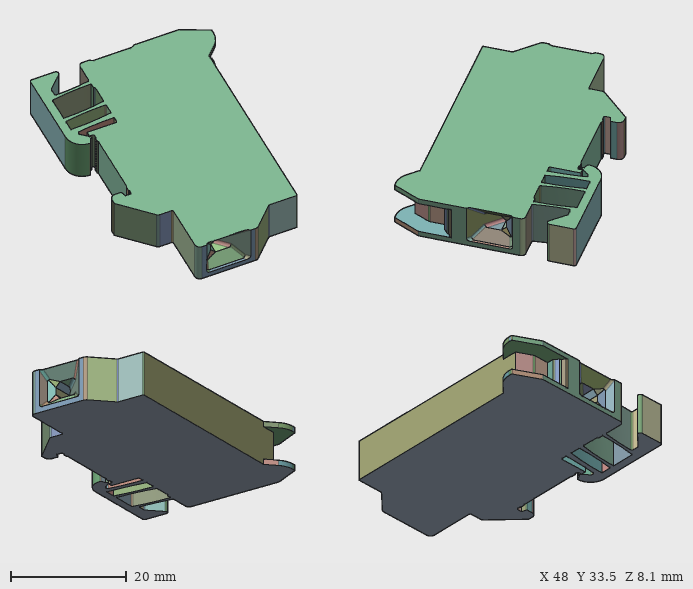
import cadquery as cq
import math

length = 48.0
height = 33.5
thickness = 8.1

body_top = 30.55
body_bottom = 9.55
step_bottom = 9.25
step_start = 6.15
step_end = 6.4
rail_seat = 4.7
foot_top = 1.6

outer_radius = 0.75
broad_radius = 0.95
foot_radius = 0.45
medium_radius = 0.3
small_radius = 0.2

plate = 1.0
ear_start = 28.4
ear_tip_x = 2.5
ear_radius = 3.85
ear_foot_x = 7.75

shoulder_x = 43.95
shoulder_y = 25.1
slope_end_y = 21.05
hook_back_x = 38.1
hook_back_y = 6.75
hook_tip_x = 30.55
hook_bottom = 1.05
hook_throat_x = 31.55
hook_lip_y = 3.25
lip_rise = 0.3
pad_drop = 0.15
pad_length = 0.8
pad_ramp = 0.25
relief_length = 0.8
stop_x = 15.25
stop_bottom = 3.85
seat_left_x = 16.2

leg_bend = 0.25
leg_radius = 0.25
leg_1 = {"left_top": 4.35, "left_bottom": 5.05, "right_top": 5.25, "right_bottom": 5.9}
leg_2 = {"left_top": 9.8, "left_bottom": 10.55, "right_top": 10.75, "right_bottom": 11.4}
leg_3 = {"left_top": 12.8, "left_bottom": 13.5, "right_top": 14.05, "right_bottom": 14.7}
notch_floor = 2.5
notch_x = 3.45
finger_tip_y = 6.05
finger_radius = 0.55
claw_tip_x = 17.8
claw_tip_y = 3.35
claw_radius = 3.2
tip_radius = 0.1
nib = (16.75, 4.2)
nib_left = (16.45, 4.0)
nib_right = (16.9, 3.7)
gap_floor = 2.45
gap_floor_start = 14.5
gap_floor_end = 15.1

slot_bottom = 22.4
slot_depth = 3.15
slot_radius = 0.95
overshoot = 0.5
slot_slope_y = 27.45
slot_back_x = 4.65
ledge_y = 24.3
tooth_count = 2
tooth_pitch = 0.8
tooth_run = 0.2
tooth_shallow = 0.35

funnel_top_y = 19.8
funnel_bottom_y = 11.4
mouth_low_z = 1.0
mouth_depth = 0.55
mouth_high_z = 8.5
throat_depth = 2.35
throat_bottom_y = 13.25
throat_low_z = 2.85
throat_high_z = 6.0
throat_chamfer = 0.9
funnel_end = funnel_top_y - throat_bottom_y
bend_depth = 1.65
bend_y = 12.0
funnel_radius = 0.55


def rounded_prism(corners, depth=thickness):
    """Prism along Z; each corner is (x, y, radius), with radius 0 for a sharp corner."""
    path = []
    for i, (x, y, radius) in enumerate(corners):
        before = corners[i - 1]
        after = corners[(i + 1) % len(corners)]
        here = cq.Vector(x, y)
        to_before = (cq.Vector(before[0], before[1]) - here).normalized()
        to_after = (cq.Vector(after[0], after[1]) - here).normalized()
        half_angle = to_before.getAngle(to_after) / 2
        setback = radius / math.tan(half_angle)
        bisector = (to_before + to_after).normalized()
        middle = here + bisector * (radius / math.sin(half_angle) - radius)
        path.append((here + to_before * setback, middle, here + to_after * setback, radius))

    outline = cq.Workplane("XY").moveTo(path[0][2].x, path[0][2].y)
    for start, middle, end, radius in path[1:] + path[:1]:
        outline = outline.lineTo(start.x, start.y)
        if radius > 0:
            outline = outline.threePointArc((middle.x, middle.y), (end.x, end.y))
    return outline.close().extrude(depth)


def make_body():
    seat_right_x = hook_throat_x - relief_length
    seat_left_end_x = seat_left_x + relief_length
    pad_y = rail_seat - pad_drop
    return rounded_prism([
        (0, step_bottom, outer_radius),
        (step_start, step_bottom, 0),
        (step_end, body_bottom, medium_radius),
        (stop_x, body_bottom, medium_radius),
        (stop_x, stop_bottom, 0),
        (seat_left_x, stop_bottom, 0),
        (seat_left_x, rail_seat, medium_radius),
        (seat_left_end_x, rail_seat, 0),
        (seat_left_end_x, pad_y, 0),
        (seat_left_end_x + pad_length, pad_y, 0),
        (seat_left_end_x + pad_length + pad_ramp, rail_seat, 0),
        (seat_right_x - pad_length - pad_ramp, rail_seat, 0),
        (seat_right_x - pad_length, pad_y, 0),
        (seat_right_x, pad_y, 0),
        (seat_right_x, rail_seat, 0),
        (hook_throat_x, rail_seat, small_radius),
        (hook_throat_x, hook_lip_y + lip_rise, 0),
        (hook_tip_x, hook_lip_y, small_radius),
        (hook_tip_x, hook_bottom, broad_radius),
        (hook_back_x + hook_bottom - hook_back_y, hook_bottom, 0),
        (hook_back_x, hook_back_y, outer_radius),
        (hook_back_x, body_bottom, medium_radius),
        (length, body_bottom, broad_radius),
        (length, slope_end_y, broad_radius),
        (shoulder_x, shoulder_y, medium_radius),
        (shoulder_x, body_top, small_radius),
        (ear_foot_x, body_top, 0),
        (ear_foot_x + body_top - height, height, ear_radius),
        (ear_tip_x, height, small_radius),
        (0, ear_start, small_radius),
    ])


def make_foot():
    return rounded_prism([
        (0, 0, foot_radius),
        (claw_tip_x, 0, claw_radius),
        (claw_tip_x, claw_tip_y, tip_radius),
        (*nib_right, 0),
        (*nib, small_radius),
        (*nib_left, small_radius),
        (gap_floor_end, gap_floor, medium_radius),
        (gap_floor_start, gap_floor, 0),
        (leg_3["right_bottom"], foot_top, 0),
        (leg_1["left_bottom"], foot_top, 0),
        (leg_1["left_bottom"], notch_floor, 0),
        (notch_x, notch_floor, medium_radius),
        (0, finger_tip_y, finger_radius),
    ])


def make_leg(left_top, left_bottom, right_top, right_bottom):
    """Curved spring leg; the left side is upright at its foot, the right side at its top."""
    middle_y = (body_bottom + foot_top) / 2
    left_middle = left_bottom + (left_top - left_bottom) * leg_bend
    right_middle = right_top + (right_bottom - right_top) * leg_bend
    return (
        cq.Workplane("XY")
        .moveTo(left_top, body_bottom)
        .threePointArc((left_middle, middle_y), (left_bottom, foot_top))
        .lineTo(right_bottom, foot_top)
        .threePointArc((right_middle, middle_y), (right_top, body_bottom))
        .close()
        .extrude(thickness)
    )


def make_slot():
    """Marker slot, open to the left and to the top, between the two ear plates."""
    ledge = [(-overshoot, slot_bottom, 0), (0, slot_bottom, 0)]
    for i in range(tooth_count):
        x = i * tooth_pitch
        y = slot_bottom + x
        ledge.append((x + tooth_run, y + tooth_shallow, 0))
        ledge.append((x + tooth_pitch, y + tooth_pitch, 0))
    ledge_x = tooth_count * tooth_pitch + tooth_run
    pocket = rounded_prism(ledge + [
        (ledge_x, ledge_y, 0),
        (slot_depth, ledge_y, 0),
        (slot_depth, slot_slope_y, slot_radius),
        (slot_back_x, body_top, 0),
        (ear_foot_x + overshoot, body_top, 0),
        (ear_foot_x + overshoot, height + overshoot, 0),
        (-overshoot, height + overshoot, 0),
    ], thickness - 2 * plate)
    return pocket.translate((0, 0, plate))


def make_throat_corner(sill, mouth_z, throat_z):
    """Material left in a low-Y corner of the throat: a prism along X with a pointed end."""
    inward = math.copysign(throat_chamfer, throat_z - mouth_z)
    share = (bend_depth - sill) / (throat_depth - sill)
    apex_z = mouth_z + (throat_z - mouth_z) * share
    apex = cq.Vector(bend_depth, bend_y, apex_z)
    base = [
        cq.Vector(throat_depth, throat_bottom_y, throat_z),
        cq.Vector(throat_depth, throat_bottom_y + throat_chamfer, throat_z),
        cq.Vector(throat_depth, throat_bottom_y, throat_z + inward),
    ]
    base_face = cq.Face.makeFromWires(cq.Wire.makePolygon(base, close=True))
    faces = [base_face]
    for i in range(3):
        side = [base[i - 1], base[i], apex]
        faces.append(cq.Face.makeFromWires(cq.Wire.makePolygon(side, close=True)))
    point = cq.Solid.makeSolid(cq.Shell.makeShell(faces))
    bar = cq.Solid.extrudeLinear(base_face, cq.Vector(funnel_end, 0, 0))
    return cq.Workplane(point).union(cq.Workplane(bar))


def round_funnel(funnel):
    """Round the long inner corners of the funnel."""
    half = throat_depth / 2
    deep = 2 * throat_depth
    low_z = (mouth_low_z + throat_low_z) / 2
    high_z = (mouth_high_z + throat_high_z) / 2
    lower_y = (funnel_bottom_y + bend_y) / 2
    corners = [
        [
            (mouth_depth / 2, funnel_top_y, mouth_low_z),
            (half, funnel_top_y - half, low_z),
            (deep, funnel_top_y - deep, throat_low_z),
        ],
        [
            (half, funnel_top_y - half, high_z),
            (deep, funnel_top_y - deep, throat_high_z),
        ],
        [
            (mouth_depth / 2, funnel_bottom_y, mouth_low_z),
            (bend_depth / 2, lower_y, low_z),
        ],
        [(bend_depth / 2, lower_y, high_z)],
    ]
    for corner in corners:
        edges = funnel.newObject([])
        for point in corner:
            edges = edges.add(funnel.edges(cq.NearestToPointSelector(point)))
        funnel = edges.fillet(funnel_radius)
    return funnel


def make_funnel():
    """Wire funnel on the left end face."""
    side = (
        cq.Workplane("XY")
        .polyline([
            (0, funnel_top_y),
            (funnel_end, throat_bottom_y),
            (throat_depth, throat_bottom_y),
            (bend_depth, bend_y),
            (0, funnel_bottom_y),
        ])
        .close()
        .extrude(2 * thickness)
    )
    cross = (
        cq.Workplane("XZ")
        .polyline([
            (0, mouth_low_z),
            (mouth_depth, mouth_low_z),
            (throat_depth, throat_low_z),
            (funnel_end, throat_low_z),
            (funnel_end, throat_high_z),
            (throat_depth, throat_high_z),
            (0, mouth_high_z),
        ])
        .close()
        .extrude(-height)
    )
    funnel = side.intersect(cross)
    funnel = funnel.cut(make_throat_corner(mouth_depth, mouth_low_z, throat_low_z))
    funnel = funnel.cut(make_throat_corner(0, mouth_high_z, throat_high_z))
    return round_funnel(funnel)


result = make_body().union(make_foot())
for leg in (leg_1, leg_2, leg_3):
    result = result.union(make_leg(**leg))

for x, y in (
    (leg_1["left_top"], step_bottom),
    (leg_1["left_bottom"], notch_floor),
    (leg_1["right_bottom"], foot_top),
    (leg_3["right_bottom"], gap_floor),
    (leg_2["left_top"], body_bottom),
    (leg_2["right_top"], body_bottom),
):
    corner = cq.NearestToPointSelector((x, y, thickness / 2))
    result = result.edges("|Z").edges(corner).fillet(leg_radius)

result = result.cut(make_slot())
funnel = make_funnel()
result = result.cut(funnel)
result = result.cut(funnel.mirror("YZ").translate((length, 0, 0)))